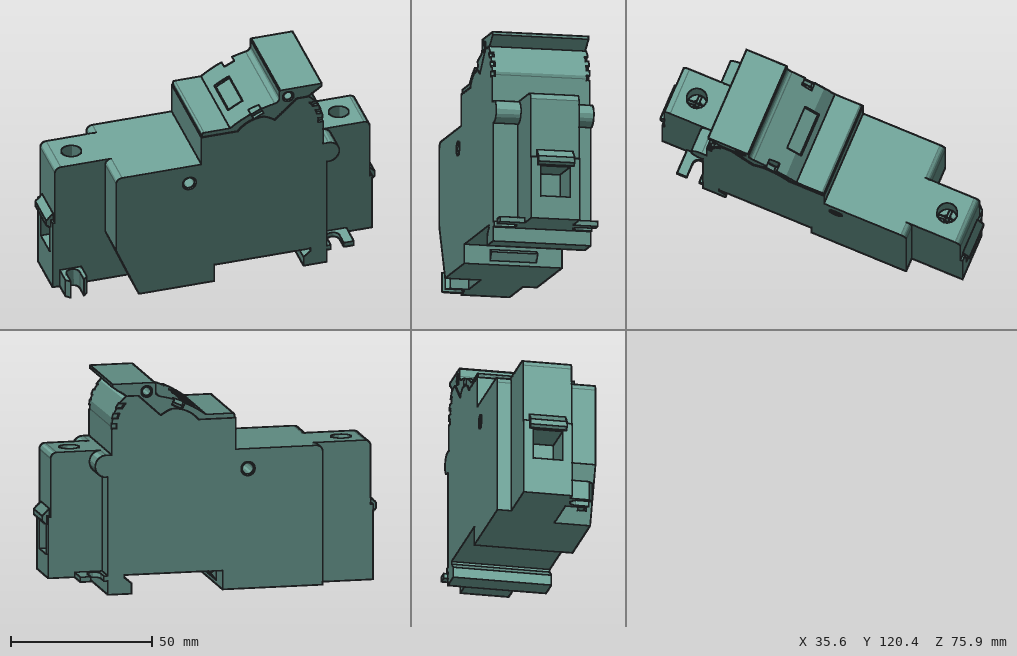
import cadquery as cq
import math


overlap = 1.2

width = 35.6
half_width = width / 2
deck_top = 50.5
shoulder_front = -39.0
housing_rear = 39.0
edge_radius = 2.2
tower_front = -7.5
tower_rear = 37.6
tower_shoulder = 61.8
plate_foot = (6.0, tower_shoulder)
plate_front_middle = (11.0, 65.4)
plate_crest = (15.7, 66.1)
plate_rear_middle = (17.7, 65.3)
plate_valley = (19.7, 63.9)
plate_top = 71.4
plate_top_rear = 32.3
plate_top_front = 27.9
tower_curve_radius = 14.2
tower_curve_center = (tower_rear - tower_curve_radius, 60.5)
tower_curve_reach = plate_top_rear - tower_curve_center[0]
tower_curve_top = tower_curve_center[1] + math.sqrt(tower_curve_radius**2 - tower_curve_reach**2)
bump_center = (39.6, 46.5)
bump_radius = deck_top - bump_center[1]

rail_top = 6.9
rail_front = -2.6
hook_front = 30.3
hook_height = 3.7
hook_undercut = 33.0
hook_throat = 5.9
clip_width = 16.9
clip_tip = (-0.5, 4.2)
clip_bottom = 1.5
clip_top = 5.4

cover_inset = 0.4
cover_half_width = half_width - cover_inset
cover_top = 75.9
cover_deck = 63.5
cover_front = tower_front + cover_inset
cover_foot = (3.3, cover_deck)
cover_crest = (19.7, 70.7)
cover_middle = (11.4, 68.1)
handle_root_middle = (21.0, 71.3)
handle_root_top = 72.7
handle_front = 21.5
handle_rear = 37.2
handle_lip = 74.8
cover_corner_radius = 0.7
handle_edge = 0.4

terminal_half_width = 8.8
front_terminal_x = -4.0
rear_terminal_x = 0.0
rear_terminal_bottom = 5.0
terminal_upper_face = 57.7
terminal_lower_face = 58.5
terminal_step = 27.2
terminal_root = 36.1
latch_reach = 60.2
latch_width = 13.1
latch_top = 29.9
latch_bottom = 24.3
latch_chamfer = 1.0
window_width = 10.6
window_bottom = 13.1
window_top = 24.0
window_depth = 14.5
screw_y = 48.9
screw_radius = 3.6
screw_well_depth = 8.4
screw_crown = 1.1
screw_slot_length = 7.0
screw_slot_width = 1.1
screw_slot_depth = 1.7
screw_socket_radius = 1.6
screw_socket_depth = 3.0


def prism(sketch, half_length, center_x=0.0):
    """Extrude a closed YZ outline along X, evenly about center_x."""
    return sketch.extrude(half_length, both=True).translate((center_x, 0, 0))


def outline(y, z):
    return cq.Workplane("YZ").moveTo(y, z)


def block(x_range, y_range, z_range):
    """Box given by its lower and upper limits on each axis."""
    size = [high - low for low, high in (x_range, y_range, z_range)]
    corner = (x_range[0], y_range[0], z_range[0])
    return cq.Workplane("XY").box(*size, centered=False).translate(corner)


def make_housing():
    low_part = (
        outline(shoulder_front, 0)
        .lineTo(shoulder_front, deck_top - edge_radius)
        .radiusArc((shoulder_front + edge_radius, deck_top), edge_radius)
        .lineTo(bump_center[0], deck_top)
        .lineTo(*bump_center)
        .lineTo(housing_rear, bump_center[1])
        .lineTo(housing_rear, 0)
        .lineTo(hook_front, 0)
        .lineTo(hook_front, hook_height)
        .lineTo(hook_undercut, hook_throat)
        .lineTo(hook_undercut, rail_top)
        .lineTo(rail_front, rail_top)
        .lineTo(rail_front, 0)
        .close()
    )
    tower = (
        outline(tower_front, rail_top)
        .lineTo(tower_front, tower_shoulder)
        .lineTo(*plate_foot)
        .threePointArc(plate_front_middle, plate_crest)
        .threePointArc(plate_rear_middle, plate_valley)
        .lineTo(plate_top_front, plate_top)
        .lineTo(plate_top_rear, plate_top)
        .lineTo(plate_top_rear, tower_curve_top)
        .radiusArc((tower_rear, tower_curve_center[1]), tower_curve_radius)
        .lineTo(tower_rear, rail_top)
        .close()
    )
    bump = outline(*bump_center).circle(bump_radius)
    housing = prism(low_part, half_width)
    housing = housing.union(prism(tower, half_width))
    return housing.union(prism(bump, half_width))


def make_rail_clip():
    clip = (
        outline(rail_front - overlap, clip_bottom)
        .lineTo(rail_front, clip_bottom)
        .lineTo(*clip_tip)
        .lineTo(rail_front, clip_top)
        .lineTo(rail_front - overlap, clip_top)
        .close()
    )
    return prism(clip, clip_width / 2)


def make_cover():
    """Cover with its lever handle; its lower part lies inside the housing."""
    profile = (
        outline(cover_front, deck_top)
        .lineTo(cover_front, cover_deck - cover_corner_radius)
        .radiusArc((cover_front + cover_corner_radius, cover_deck), cover_corner_radius)
        .lineTo(*cover_foot)
        .threePointArc(cover_middle, cover_crest)
        .threePointArc(handle_root_middle, (handle_front, handle_root_top))
        .lineTo(handle_front, cover_top - handle_edge)
        .lineTo(handle_front + handle_edge, cover_top)
        .lineTo(handle_rear, cover_top)
        .lineTo(handle_rear, handle_lip)
        .lineTo(plate_top_rear, plate_top)
        .lineTo(plate_top_rear, deck_top)
        .close()
    )
    return prism(profile, cover_half_width)


label_half_width = 8.2
label_length = 6.3
label_depth = 0.6
label_draft = 25.0
label_center = (8.1, 66.3)
label_tilt = 29.0
notch_length = 4.1
notch_depth = 2.4
notch_center = (12.8, 68.7)
notch_tilt = 26.0
notch_slope_depth = 1.5
notch_floor_x = 15.8
notch_mouth_x = 14.5


def make_label_recess():
    recess = cq.Workplane("XY").rect(2 * label_half_width, label_length)
    recess = recess.extrude(-label_depth, taper=label_draft)
    recess = recess.union(cq.Workplane("XY").rect(2 * label_half_width, label_length).extrude(overlap))
    recess = recess.rotate((0, 0, 0), (1, 0, 0), label_tilt)
    return recess.translate((0, *label_center))


def make_grip_notch(side):
    """Notch across one edge of the cover, with its inner wall leaning outward."""
    section = cq.Workplane("XZ").polyline(
        [
            (side * half_width, -notch_depth),
            (side * notch_floor_x, -notch_depth),
            (side * notch_floor_x, -notch_slope_depth),
            (side * notch_mouth_x, 0),
            (side * notch_mouth_x, overlap),
            (side * half_width, overlap),
        ]
    )
    notch = section.close().extrude(notch_length / 2, both=True)
    notch = notch.rotate((0, 0, 0), (1, 0, 0), notch_tilt)
    return notch.translate((0, *notch_center))


index_first = 59.8
index_pitch = 3.6
index_height = 1.8
index_count = 3
index_depth_x = 1.2
index_depth = 1.8


def make_index_notches(side):
    """Level notches that run in from the rear curve to a concentric inner curve."""
    x_range = sorted((side * half_width, side * (half_width - index_depth_x)))
    inner_radius = tower_curve_radius - index_depth
    core = prism(outline(*tower_curve_center).circle(inner_radius), half_width)
    notches = cq.Workplane("XY")
    for i in range(index_count):
        bottom = index_first + i * index_pitch
        z_range = (bottom, bottom + index_height)
        notches = notches.add(block(x_range, (tower_curve_center[0], housing_rear), z_range))
    return notches.combine().cut(core)


def make_terminal(center_x, side, bottom):
    """Terminal block reaching outward along side * Y, with a wire latch above its window."""

    def at(y, z):
        return (side * y, z)

    body = (
        outline(*at(terminal_root, bottom))
        .lineTo(*at(terminal_lower_face, bottom))
        .lineTo(*at(terminal_lower_face, terminal_step))
        .lineTo(*at(terminal_upper_face, terminal_step))
        .lineTo(*at(terminal_upper_face, deck_top - edge_radius))
        .radiusArc(at(terminal_upper_face - edge_radius, deck_top), side * -edge_radius)
        .lineTo(*at(terminal_root, deck_top))
        .close()
    )
    latch = (
        outline(*at(terminal_upper_face - overlap, latch_top))
        .lineTo(*at(terminal_upper_face, latch_top))
        .lineTo(*at(latch_reach, terminal_step))
        .lineTo(*at(latch_reach, latch_bottom + latch_chamfer))
        .lineTo(*at(latch_reach - latch_chamfer, latch_bottom))
        .lineTo(*at(terminal_upper_face - overlap, latch_bottom))
        .close()
    )
    y_range = sorted((side * latch_reach, side * (terminal_lower_face - window_depth)))
    x_range = (center_x - window_width / 2, center_x + window_width / 2)
    window = block(x_range, y_range, (window_bottom, window_top))
    terminal = prism(body, terminal_half_width, center_x)
    terminal = terminal.union(prism(latch, latch_width / 2, center_x))
    return terminal.cut(window)


def make_screw_well(center_x, side):
    """Round well over a crowned screw head with a cross slot and a conical socket."""
    crown_top = deck_top - screw_well_depth
    rim = crown_top - screw_crown
    well = (
        cq.Workplane("XZ")
        .moveTo(0, deck_top)
        .lineTo(screw_radius, deck_top)
        .lineTo(screw_radius, rim)
        .lineTo(0, crown_top)
        .close()
        .revolve(360, (0, 0), (0, 1))
    )
    slot_top = crown_top - screw_slot_depth
    cross = (
        cq.Workplane("XY")
        .workplane(offset=slot_top)
        .rect(screw_slot_length, screw_slot_width)
        .extrude(screw_slot_depth + overlap)
    )
    cross = cross.union(cross.rotate((0, 0, 0), (0, 0, 1), 90))
    socket = cq.Workplane("XY").add(
        cq.Solid.makeCone(0, screw_socket_radius, screw_socket_depth)
    ).translate((0, 0, crown_top - screw_socket_depth))
    return well.union(cross).union(socket).translate((center_x, side * screw_y, 0))


tab_rear = 49.0
tab_slot_y = 42.9
tab_slot_x = 12.6
fork_slot_radius = 2.4
fork_tip = 13.0
fork_front = -55.9
fork_rear = -47.9
fork_chamfer = 1.5
fork_slot_x = 8.0


def slot_to_edge(start_x, end_x, y, height):
    """Slot with a round end at start_x that runs out past end_x."""
    low, high = sorted((start_x, end_x))
    straight = block((low, high), (y - fork_slot_radius, y + fork_slot_radius), (0, height))
    round_end = cq.Workplane("XY").center(start_x, y).circle(fork_slot_radius).extrude(height)
    return straight.union(round_end)


def make_rear_tabs():
    tabs = block(
        (-half_width, half_width), (housing_rear - overlap, tab_rear), (rear_terminal_bottom, rail_top)
    )
    for side in (-1, 1):
        tabs = tabs.cut(slot_to_edge(side * tab_slot_x, side * half_width, tab_slot_y, rail_top))
    return tabs


def make_front_fork():
    fork = block((0, fork_tip), (fork_front, fork_rear), (0, rail_top))
    fork = fork.edges("|Z and >X").chamfer(fork_chamfer)
    return fork.cut(slot_to_edge(fork_slot_x, fork_tip, (fork_front + fork_rear) / 2, rail_top))


undercut_top = 20.0
undercut_run = 8.4
undercut_left = front_terminal_x + terminal_half_width


def make_undercut():
    wedge = (
        outline(shoulder_front, 0)
        .lineTo(shoulder_front, undercut_top)
        .lineTo(shoulder_front + undercut_run, 0)
        .close()
        .extrude(half_width - undercut_left)
    )
    return wedge.translate((undercut_left, 0, 0))


pocket_x = (12.8, 15.9)
pocket_z = (4.7, 6.5)
pocket_depth = 12.0


def make_undercut_pocket():
    return block(pocket_x, (shoulder_front, shoulder_front + pocket_depth), pocket_z)


housing_hole = (-11.9, 43.2, 2.0, 2.5)
handle_hole = (24.8, 72.7, 1.6, 2.0)


def make_cross_hole(y, z, radius, mouth_radius, mouth_x):
    """Hole through the full width, countersunk at both sides from mouth_x inward."""
    sink_x = mouth_x - (mouth_radius - radius)
    end_x = half_width + overlap
    half_section = (
        cq.Workplane("XY")
        .moveTo(-end_x, 0)
        .lineTo(-end_x, mouth_radius)
        .lineTo(-mouth_x, mouth_radius)
        .lineTo(-sink_x, radius)
        .lineTo(sink_x, radius)
        .lineTo(mouth_x, mouth_radius)
        .lineTo(end_x, mouth_radius)
        .lineTo(end_x, 0)
        .close()
    )
    return half_section.revolve(360, (0, 0), (1, 0)).translate((0, y, z))


result = make_housing().union(make_cover()).union(make_rail_clip())
result = result.union(make_rear_tabs()).union(make_front_fork())
result = result.cut(make_undercut()).cut(make_undercut_pocket())
result = result.union(make_terminal(front_terminal_x, -1, 0))
result = result.union(make_terminal(rear_terminal_x, 1, rear_terminal_bottom))
result = result.cut(make_screw_well(front_terminal_x, -1)).cut(make_screw_well(rear_terminal_x, 1))
result = result.cut(make_label_recess())
for side in (-1, 1):
    result = result.cut(make_grip_notch(side)).cut(make_index_notches(side))
result = result.cut(make_cross_hole(*housing_hole, half_width))
result = result.cut(make_cross_hole(*handle_hole, cover_half_width))